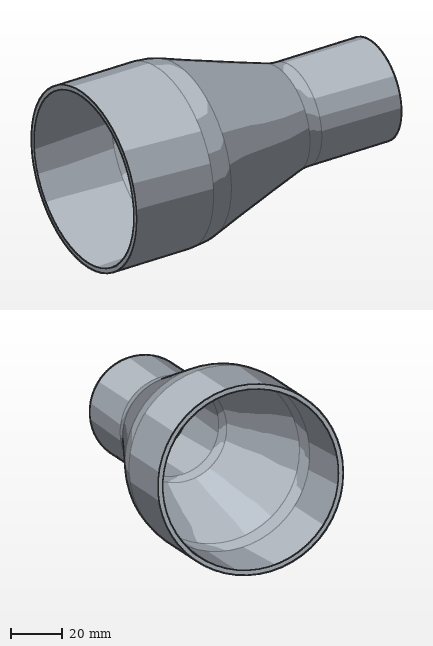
import cadquery as cq
import math

length = 133.0
wide_radius = 76.1 / 2
narrow_radius = 42.4 / 2
wall = 2.0

corner_distance = 40.0

wide_bend_radius = 30.0
narrow_bend_radius = 20.0

cone_length = length - 2 * corner_distance
cone_angle = math.atan((wide_radius - narrow_radius) / cone_length)
wide_setback = wide_bend_radius * math.tan(cone_angle / 2)
narrow_setback = narrow_bend_radius * math.tan(cone_angle / 2)

wide_center = (wide_radius - wide_bend_radius, corner_distance - wide_setback)
narrow_center = (narrow_radius + narrow_bend_radius, length - corner_distance + narrow_setback)


def arc_point(center, radius, angle):
    """Point on an arc, with the angle measured from the X axis."""
    return (
        center[0] + radius * math.cos(angle),
        center[1] + radius * math.sin(angle),
    )


def reducer_body(inset):
    """Solid of revolution whose surface lies inset inside the outer skin."""
    wide_arc = wide_bend_radius - inset
    narrow_arc = narrow_bend_radius + inset
    half_angle = cone_angle / 2
    return (
        cq.Workplane("XY")
        .moveTo(0, 0)
        .lineTo(wide_radius - inset, 0)
        .lineTo(*arc_point(wide_center, wide_arc, 0))
        .threePointArc(
            arc_point(wide_center, wide_arc, half_angle),
            arc_point(wide_center, wide_arc, cone_angle),
        )
        .lineTo(*arc_point(narrow_center, narrow_arc, math.pi + cone_angle))
        .threePointArc(
            arc_point(narrow_center, narrow_arc, math.pi + half_angle),
            arc_point(narrow_center, narrow_arc, math.pi),
        )
        .lineTo(narrow_radius - inset, length)
        .lineTo(0, length)
        .close()
        .revolve(360, (0, 0, 0), (0, 1, 0))
    )


outer_body = reducer_body(0)
bore = reducer_body(wall)
result = outer_body.cut(bore)